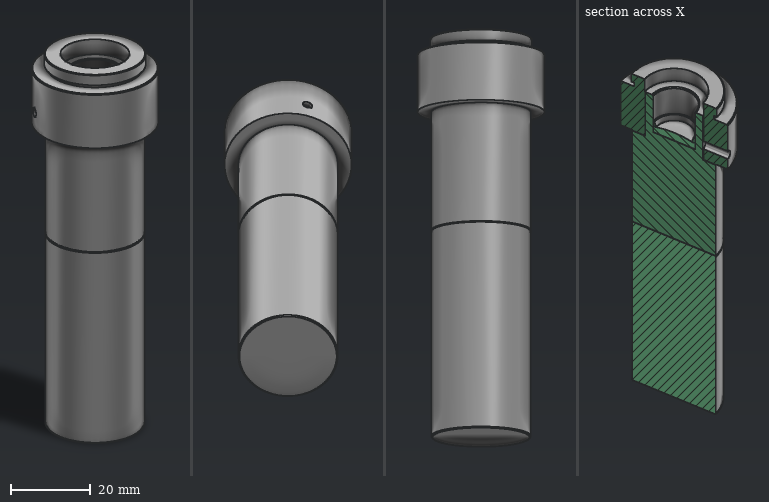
import cadquery as cq

TOTAL_HEIGHT = 102.2
JOINT_Z = 53.1

BARREL_DIAMETER = 25.0
BARREL_CHAMFER = 0.3

FLANGE_DIAMETER = 25.6
FLANGE_HEIGHT = 2.9
FLANGE_CHAMFER = 0.2
NECK_DIAMETER = 23.9
COLLAR_TOP_DEPTH = 3.9
COLLAR_BOTTOM_DEPTH = 18.8
COLLAR_DIAMETER = 32.0
COLLAR_CHAMFER = 0.26
MOUNT_BORE_DIAMETER = 17.4
SPIGOT_TOP_DEPTH = 4.2
SCREW_HOLE_DIAMETER = 2.5
SCREW_HOLE_DEPTH = 14.0

LENS_BORE_DIAMETER = 12.4
LENS_BORE_MOUTH = 13.0
LENS_BORE_DEPTH = 12.3
RING_HEIGHT = 1.5
RING_TOP_OPENING = 11.6
RING_BOTTOM_OPENING = 10.5
LENS_EDGE_THICKNESS = 2.0
LENS_DOME_HEIGHT = 0.6

COLLAR_TOP_Z = TOTAL_HEIGHT - COLLAR_TOP_DEPTH
COLLAR_BOTTOM_Z = TOTAL_HEIGHT - COLLAR_BOTTOM_DEPTH
SPIGOT_TOP_Z = TOTAL_HEIGHT - SPIGOT_TOP_DEPTH
LENS_BOTTOM_Z = SPIGOT_TOP_Z - LENS_BORE_DEPTH
LENS_RIM_Z = LENS_BOTTOM_Z + LENS_EDGE_THICKNESS


def cylinder(diameter, bottom_z, top_z):
    """Upright cylinder on the optical axis."""
    return cq.Workplane("XY").workplane(offset=bottom_z).circle(diameter / 2).extrude(top_z - bottom_z)


def make_lower_barrel():
    """Plain rod, chamfered at both ends."""
    barrel = cylinder(BARREL_DIAMETER, 0, JOINT_Z)
    return barrel.faces("<Z or >Z").chamfer(BARREL_CHAMFER)


def make_upper_barrel():
    """Rod with a spigot that fills the mount bore, and a blind lens bore down from the spigot's top."""
    barrel = cylinder(BARREL_DIAMETER, JOINT_Z, COLLAR_BOTTOM_Z)
    barrel = barrel.union(cylinder(MOUNT_BORE_DIAMETER, COLLAR_BOTTOM_Z, SPIGOT_TOP_Z))
    barrel = barrel.cut(cylinder(LENS_BORE_DIAMETER, LENS_BOTTOM_Z, SPIGOT_TOP_Z))
    mouth_chamfer = (LENS_BORE_MOUTH - LENS_BORE_DIAMETER) / 2
    mouth_edge = cq.selectors.RadiusNthSelector(0)
    return barrel.faces(">Z").edges(mouth_edge).chamfer(mouth_chamfer)


def make_mount():
    """Flange, neck and collar, bored through for the spigot of the upper barrel."""
    flange = cylinder(FLANGE_DIAMETER, TOTAL_HEIGHT - FLANGE_HEIGHT, TOTAL_HEIGHT)
    flange = flange.faces(">Z").chamfer(FLANGE_CHAMFER)
    neck = cylinder(NECK_DIAMETER, COLLAR_TOP_Z, TOTAL_HEIGHT - FLANGE_HEIGHT)
    collar = cylinder(COLLAR_DIAMETER, COLLAR_BOTTOM_Z, COLLAR_TOP_Z)
    collar = collar.faces(">Z").chamfer(COLLAR_CHAMFER)
    mount = collar.union(neck).union(flange)
    mount = mount.cut(cylinder(MOUNT_BORE_DIAMETER, COLLAR_BOTTOM_Z, TOTAL_HEIGHT))
    return mount.cut(make_screw_hole())


def make_screw_hole():
    """Cutter for the radial set screw hole on the -Y side of the collar."""
    return (
        cq.Workplane("XZ")
        .center(0, TOTAL_HEIGHT - SCREW_HOLE_DEPTH)
        .circle(SCREW_HOLE_DIAMETER / 2)
        .extrude(COLLAR_DIAMETER / 2)
    )


def make_lens():
    """Disc with a domed top inside a flat rim, at the bottom of the lens bore."""
    dome_radius = RING_BOTTOM_OPENING / 2
    sphere_radius = (dome_radius**2 + LENS_DOME_HEIGHT**2) / (2 * LENS_DOME_HEIGHT)
    sphere_center_z = LENS_RIM_Z + LENS_DOME_HEIGHT - sphere_radius
    disc = cylinder(LENS_BORE_DIAMETER, LENS_BOTTOM_Z, LENS_RIM_Z)
    dome = (
        cylinder(RING_BOTTOM_OPENING, LENS_RIM_Z, LENS_RIM_Z + LENS_DOME_HEIGHT)
        .intersect(cq.Workplane("XY").sphere(sphere_radius).translate((0, 0, sphere_center_z)))
    )
    return disc.union(dome)


def make_retaining_ring():
    """Ring that rests on the lens rim, its opening tapering down to the dome."""
    outer_radius = LENS_BORE_DIAMETER / 2
    top_z = LENS_RIM_Z + RING_HEIGHT
    profile = [
        (RING_BOTTOM_OPENING / 2, LENS_RIM_Z),
        (outer_radius, LENS_RIM_Z),
        (outer_radius, top_z),
        (RING_TOP_OPENING / 2, top_z),
    ]
    return cq.Workplane("XZ").polyline(profile).close().revolve(360, (0, 0), (0, 1))


lower_barrel = make_lower_barrel()
upper_barrel = make_upper_barrel()
mount = make_mount()
lens = make_lens()
retaining_ring = make_retaining_ring()

result = cq.Compound.makeCompound(
    [lower_barrel.val(), upper_barrel.val(), mount.val(), lens.val(), retaining_ring.val()]
)